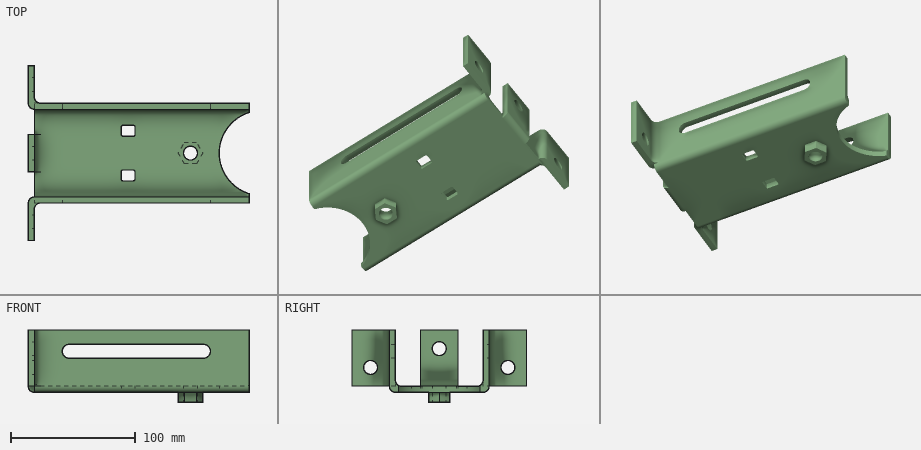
import cadquery as cq

length = 177.0
flange_span = 140.0
channel_width = 80.0
channel_height = 50.1
sheet = 5.0
bend_radius = sheet

tab_width = 30.1
hole_diameter = 11.0
hole_edge_distance = 15.0

slot_center_x = 86.5
slot_length = 118.5
slot_drop = 17.2

window_center_x = 80.0
window_center_y = 17.9
window_length = 10.8
window_width = 8.5
window_corner_radius = 1.0
cutout_radius = 34.0
cutout_depth = 24.0

nut_x = 130.0
nut_corner_diameter = 19.6
nut_height = 8.0


def box(x_min, x_max, y_min, y_max, z_min, z_max):
    """Axis-aligned box given by its limits."""
    size = (x_max - x_min, y_max - y_min, z_max - z_min)
    return cq.Workplane("XY").box(*size, centered=False).translate((x_min, y_min, z_min))


def channel():
    """U-shaped channel, with rounded bends, behind the end flanges."""
    inner_half = channel_width / 2 - sheet
    outer = box(sheet, length, -channel_width / 2, channel_width / 2, 0, channel_height)
    outer = outer.edges("|X and <Z").fillet(bend_radius)
    inner = box(sheet, length, -inner_half, inner_half, sheet, channel_height)
    inner = inner.edges("|X and <Z").fillet(bend_radius)
    return outer.cut(inner)


def side_flange():
    """Flange bent outward from the +Y wall, overlapping the wall past its bend."""
    wall_outside = channel_width / 2
    wall_inside = wall_outside - sheet
    bend_end = sheet + bend_radius
    profile = (
        cq.Workplane("XY", origin=(0, 0, sheet))
        .moveTo(bend_end, wall_inside)
        .lineTo(bend_radius, wall_inside)
        .radiusArc((0, wall_inside + bend_radius), bend_radius)
        .lineTo(0, flange_span / 2)
        .lineTo(sheet, flange_span / 2)
        .lineTo(sheet, wall_outside + bend_radius)
        .radiusArc((bend_end, wall_outside), -bend_radius)
        .close()
    )
    flange = profile.extrude(channel_height - sheet)
    hole = (
        cq.Workplane("YZ")
        .center(flange_span / 2 - hole_edge_distance, sheet + hole_edge_distance)
        .circle(hole_diameter / 2)
        .extrude(sheet)
    )
    return flange.cut(hole)


def center_tab():
    """Upright tab bent up from the floor."""
    bend_end = sheet + bend_radius
    tab = (
        cq.Workplane("XZ", origin=(0, tab_width / 2, 0))
        .moveTo(bend_end, 0)
        .lineTo(bend_radius, 0)
        .radiusArc((0, bend_radius), bend_radius)
        .lineTo(0, channel_height)
        .lineTo(sheet, channel_height)
        .lineTo(sheet, bend_end)
        .radiusArc((bend_end, sheet), -bend_radius)
        .close()
        .extrude(tab_width)
    )
    hole = (
        cq.Workplane("YZ")
        .center(0, channel_height - hole_edge_distance)
        .circle(hole_diameter / 2)
        .extrude(sheet)
    )
    return tab.cut(hole)


def nut():
    """Hexagonal nut with two corners along X."""
    return (
        cq.Workplane("XY", origin=(nut_x, 0, -nut_height))
        .polygon(6, nut_corner_diameter)
        .extrude(nut_height)
    )


def wall_slots():
    """Long round-ended slot through both walls."""
    return (
        cq.Workplane("XZ")
        .center(slot_center_x, channel_height - slot_drop)
        .slot2D(slot_length, hole_diameter)
        .extrude(channel_width, both=True)
    )


def floor_windows():
    """Pair of rounded rectangular windows."""
    return (
        cq.Workplane("XY")
        .pushPoints([(window_center_x, side * window_center_y) for side in (-1, 1)])
        .rect(window_length, window_width)
        .extrude(sheet)
        .edges("|Z")
        .fillet(window_corner_radius)
    )


def end_cutout():
    """Circular bite out of the free end of the floor."""
    return (
        cq.Workplane("XY")
        .center(length - cutout_depth + cutout_radius, 0)
        .circle(cutout_radius)
        .extrude(channel_height)
    )


def nut_hole():
    """Hole through the floor and the nut."""
    return (
        cq.Workplane("XY", origin=(nut_x, 0, -nut_height))
        .circle(hole_diameter / 2)
        .extrude(nut_height + sheet)
    )


result = channel().union(center_tab()).union(nut())
flange = side_flange()
for end_flange in (flange, flange.mirror("XZ")):
    result = result.union(end_flange)
for opening in (wall_slots(), floor_windows(), end_cutout(), nut_hole()):
    result = result.cut(opening)